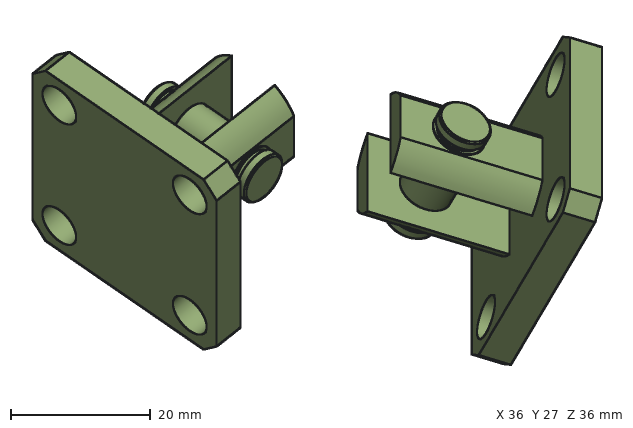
import cadquery as cq

plate_side = 36.0
plate_thickness = 5.0
corner_chamfer = 2.55
hole_diameter = 6.6
hole_pitch = 25.5

total_depth = 27.0
lug_round_radius = 9.05
lug_outer_width = 15.9
lug_gap = 8.35
lug_length = total_depth - plate_thickness
lug_thickness = (lug_outer_width - lug_gap) / 2
lug_offset = (lug_outer_width + lug_gap) / 4

pin_diameter = 8.03
pin_length = 21.02
pin_end_setback = 9.0
pin_chamfer = 0.25
pin_head_length = 1.5
groove_width = 0.9
groove_diameter = 7.0
pin_axis_y = total_depth - pin_end_setback


def along_y(y):
    """XZ workplane at the given Y, extruding toward +Y."""
    return cq.Workplane(cq.Plane(origin=(0, y, 0), xDir=(-1, 0, 0), normal=(0, 1, 0)))


def pin_cylinder(diameter, length, center_x=0.0):
    """Cylinder on the pin axis, centred at center_x."""
    start = (center_x - length / 2, pin_axis_y, 0)
    return cq.Workplane("YZ", origin=start).circle(diameter / 2).extrude(length)


def make_plate():
    plate = along_y(0).rect(plate_side, plate_side).extrude(plate_thickness)
    plate = plate.edges("|Y").chamfer(corner_chamfer)
    holes = along_y(0).rect(hole_pitch, hole_pitch, forConstruction=True).vertices()
    return plate.cut(holes.circle(hole_diameter / 2).extrude(plate_thickness))


def make_lug(side):
    """One lug: a flat slab rounded to the common bar; side is -1 or 1."""
    bar = along_y(plate_thickness).circle(lug_round_radius).extrude(lug_length)
    slab = (
        along_y(plate_thickness)
        .center(-side * lug_offset, 0)
        .rect(lug_thickness, 2 * lug_round_radius)
        .extrude(lug_length)
    )
    return bar.intersect(slab)


def make_bracket():
    bracket = make_plate()
    for side in (-1, 1):
        bracket = bracket.union(make_lug(side))
    return bracket.cut(pin_cylinder(pin_diameter, pin_length))


def make_pin():
    pin = pin_cylinder(pin_diameter, pin_length).faces("<X or >X").chamfer(pin_chamfer)
    groove_offset = pin_length / 2 - pin_head_length - groove_width / 2
    for side in (-1, 1):
        x = side * groove_offset
        ring = pin_cylinder(pin_diameter, groove_width, x)
        ring = ring.cut(pin_cylinder(groove_diameter, groove_width, x))
        pin = pin.cut(ring)
    return pin


bracket = make_bracket()
pin = make_pin()
result = cq.Compound.makeCompound([bracket.solids().val(), pin.solids().val()])